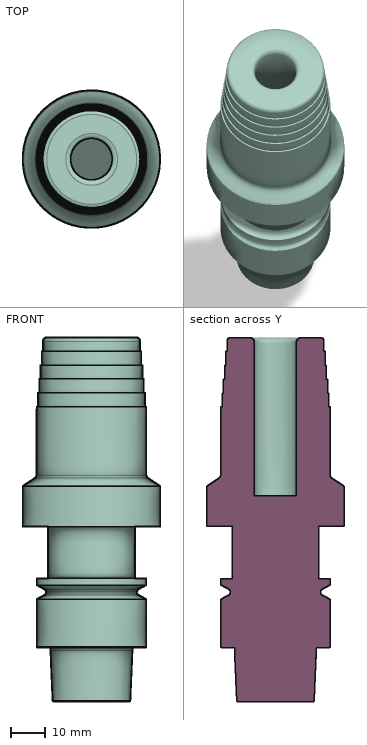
import cadquery as cq

total_height = 105.9
shoulder_z = 65.3
collar_top_z = 62.9
collar_bottom_z = 50.9
flange_top_z = 35.9
groove_center_z = 31.9
flange_bottom_z = 15.7
taper_top_z = 15.0

collar_radius = 20.0
body_radius = 16.0
neck_radius = 12.7
groove_radius = 13.2
shank_top_radius = 12.0
shank_end_radius = 11.3
bore_radius = 6.0

step_count = 5
step_height = 4.0
step_ledge = 0.37
nose_fillet = 1.1

shoulder_fillet = 1.0
edge_chamfer = 0.3
groove_mouth = 4.1
groove_floor = 1.2
groove_fillet = 0.6
bore_fillet = 1.5
bore_depth = 46.0


def shank_points():
    """Outline of the tapered shank, from the axis up to the flange."""
    return [
        (0, 0),
        (shank_end_radius - edge_chamfer, 0),
        (shank_end_radius, edge_chamfer),
        (shank_top_radius, taper_top_z),
        (shank_top_radius, flange_bottom_z),
    ]


def flange_points():
    """Outline of the flange with its V groove and flat groove floor."""
    return [
        (body_radius - edge_chamfer, flange_bottom_z),
        (body_radius, flange_bottom_z + edge_chamfer),
        (body_radius, groove_center_z - groove_mouth / 2),
        (groove_radius, groove_center_z - groove_floor / 2),
        (groove_radius, groove_center_z + groove_floor / 2),
        (body_radius, groove_center_z + groove_mouth / 2),
        (body_radius, flange_top_z),
    ]


def collar_points():
    """Outline of the neck, the collar and its sloped shoulder."""
    return [
        (neck_radius, flange_top_z),
        (neck_radius, collar_bottom_z),
        (collar_radius, collar_bottom_z),
        (collar_radius, collar_top_z - edge_chamfer),
        (collar_radius - edge_chamfer, collar_top_z),
        (body_radius, shoulder_z),
    ]


def nose_points():
    """Outline of the stepped nose, from the body up to the top face."""
    points = []
    radius = body_radius
    for step in range(step_count):
        z = total_height - (step_count - step) * step_height
        points.append((radius, z))
        radius -= step_ledge
        points.append((radius, z))
    points.append((radius, total_height))
    points.append((0, total_height))
    return points


def rings_at(z):
    """Select the circular edges lying in the horizontal plane at height z."""
    reach = 2 * collar_radius
    tolerance = 0.01
    return cq.selectors.BoxSelector((-reach, -reach, z - tolerance), (reach, reach, z + tolerance))


outline = shank_points() + flange_points() + collar_points() + nose_points()
holder = cq.Workplane("XZ").polyline(outline).close().revolve(360, (0, 0, 0), (0, 1, 0))

holder = holder.edges("%CIRCLE").edges(rings_at(shoulder_z)).fillet(shoulder_fillet)
for side in (-1, 1):
    floor_edge_z = groove_center_z + side * groove_floor / 2
    holder = holder.edges("%CIRCLE").edges(rings_at(floor_edge_z)).fillet(groove_fillet)

holder = holder.faces(">Z").edges().fillet(nose_fillet)

holder = holder.faces(">Z").workplane().hole(2 * bore_radius, bore_depth)
mouth_edge = holder.faces(">Z").edges(cq.selectors.RadiusNthSelector(0))
result = mouth_edge.fillet(bore_fillet)